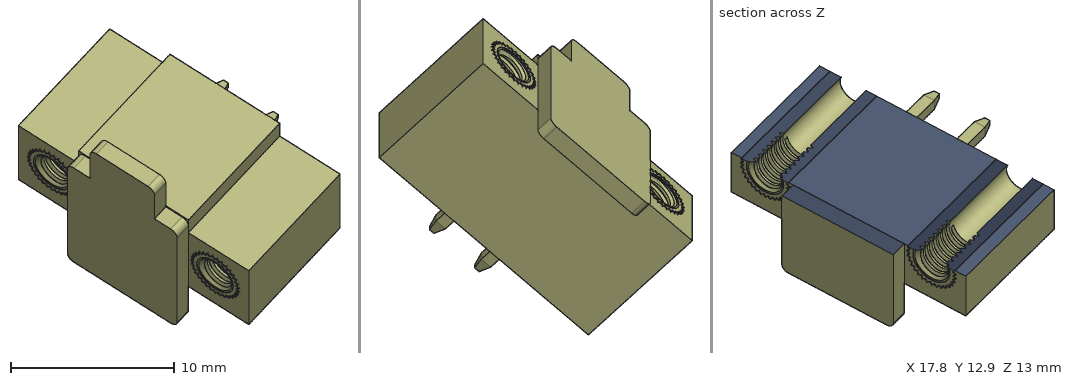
import cadquery as cq
import math


overall_width = 17.81
core_width = 8.48
body_depth = 9.15
body_bottom = -3.05
wing_top = 2.67
core_top = 4.03

plate_thickness = 1.14
plate_bottom = -6.07
plate_shoulder = 3.92
plate_top = 6.93
neck_width = 4.99
corner_radius = 0.5

pin_spacing = 3.85
pin_side = 0.8
pin_tip_side = 0.4
pin_length = 2.6
pin_tip_length = 0.8

insert_spacing = 12.63
insert_lip = 0.05
knurl_tip_diameter = 3.72
knurl_root_diameter = 3.31
knurl_teeth = 31
knurl_start_angle = -85.8
recess_diameter = 2.8
recess_depth = 0.05

thread_minor_diameter = 2.07
thread_major_diameter = 2.53
thread_pitch = 0.45
thread_half_angle = 30.0
thread_start_angle = 165.0
mouth_diameter = 2.55
thread_length = 3.56
groove_overlap = 0.04

insert_length = body_depth + insert_lip
insert_centres = [(-insert_spacing / 2, 0), (insert_spacing / 2, 0)]


def box_between(width, y_front, y_back, z_bottom, z_top):
    """Box centred on X = 0 between the given Y and Z limits."""
    size = (width, y_back - y_front, z_top - z_bottom)
    return cq.Workplane("XY").box(*size, centered=(True, False, False)).translate((0, y_front, z_bottom))


def polar(radius, degrees):
    angle = math.radians(degrees)
    return (radius * math.cos(angle), radius * math.sin(angle))


def place_insert(shape, centre):
    """Turn a shape built along +Z so it runs along +Y from the lip face, on the given X, Z centre."""
    x, z = centre
    return shape.rotate((0, 0, 0), (1, 0, 0), -90).translate((x, -insert_lip, z))


def make_knurled_bar():
    """Straight-knurled bar along +Z with pointed teeth."""
    tooth_angle = 360 / knurl_teeth
    outline = []
    for tooth in range(knurl_teeth):
        tip_angle = knurl_start_angle + tooth * tooth_angle
        outline.append(polar(knurl_tip_diameter / 2, tip_angle))
        outline.append(polar(knurl_root_diameter / 2, tip_angle + tooth_angle / 2))
    return cq.Workplane("XY").polyline(outline).close().extrude(insert_length)


def make_thread_groove():
    """Helical V groove along +Z that runs out through the mouth and ends inside the bore."""
    root_radius = thread_major_diameter / 2
    inner_radius = thread_minor_diameter / 2 - groove_overlap
    half_width = (root_radius - inner_radius) * math.tan(math.radians(thread_half_angle))
    helix = cq.Wire.makeHelix(thread_pitch, thread_length + thread_pitch, root_radius)
    profile = [(inner_radius, -half_width), (root_radius, 0), (inner_radius, half_width)]
    groove = cq.Workplane("XZ").polyline(profile).close().sweep(cq.Workplane(obj=helix), isFrenet=True)
    return groove.rotate((0, 0, 0), (0, 0, 1), thread_start_angle).translate((0, 0, -thread_pitch))


def make_insert():
    """Insert along +Z: a threaded sleeve, set back at the mouth, inside a knurled shell."""
    mouth_depth = (mouth_diameter - thread_minor_diameter) / 2
    sleeve_outline = [
        (mouth_diameter / 2, recess_depth),
        (recess_diameter / 2, recess_depth),
        (recess_diameter / 2, insert_length),
        (thread_minor_diameter / 2, insert_length),
        (thread_minor_diameter / 2, recess_depth + mouth_depth),
    ]
    sleeve = cq.Workplane("XZ").polyline(sleeve_outline).close().revolve(360, (0, 0), (0, 1))
    sleeve = sleeve.cut(make_thread_groove(), clean=False)
    shell = make_knurled_bar().cut(cq.Workplane("XY").circle(recess_diameter / 2).extrude(insert_length))
    return shell.union(sleeve, clean=False).solids()


def make_housing():
    """Tall core between two lower wings, with a knurled bore for each insert."""
    core = box_between(core_width, 0, body_depth, body_bottom, core_top)
    wings = box_between(overall_width, 0, body_depth, body_bottom, wing_top)
    housing = core.union(wings)
    for centre in insert_centres:
        housing = housing.cut(place_insert(make_knurled_bar(), centre))
    return housing


def make_front_plate():
    """Flat plate with a narrower neck and rounded outer corners."""
    lower = box_between(core_width, -plate_thickness, 0, plate_bottom, plate_shoulder)
    lower = lower.edges("|Y").fillet(corner_radius)
    neck = box_between(neck_width, -plate_thickness, 0, plate_bottom, plate_top)
    neck = neck.edges("|Y and >Z").fillet(corner_radius)
    return lower.union(neck)


def make_pin(x):
    """Square pin standing on the rear face of the housing, with a tapered tip."""
    shank_length = pin_length - pin_tip_length
    rear = cq.Workplane("XZ", origin=(x, body_depth, 0))
    shank = rear.rect(pin_side, pin_side).extrude(-shank_length)
    tip = (
        rear.workplane(offset=-shank_length)
        .rect(pin_side, pin_side)
        .workplane(offset=-pin_tip_length)
        .rect(pin_tip_side, pin_tip_side)
        .loft(combine=False)
    )
    return shank.union(tip)


housing = make_housing()
front_plate = make_front_plate()
pins = [make_pin(x) for x in (-pin_spacing / 2, pin_spacing / 2)]
threaded_insert = make_insert()
inserts = [place_insert(threaded_insert, centre) for centre in insert_centres]

result = cq.Compound.makeCompound(
    [
        housing.val(),
        front_plate.val(),
        *[pin.val() for pin in pins],
        *[insert.val() for insert in inserts],
    ]
)